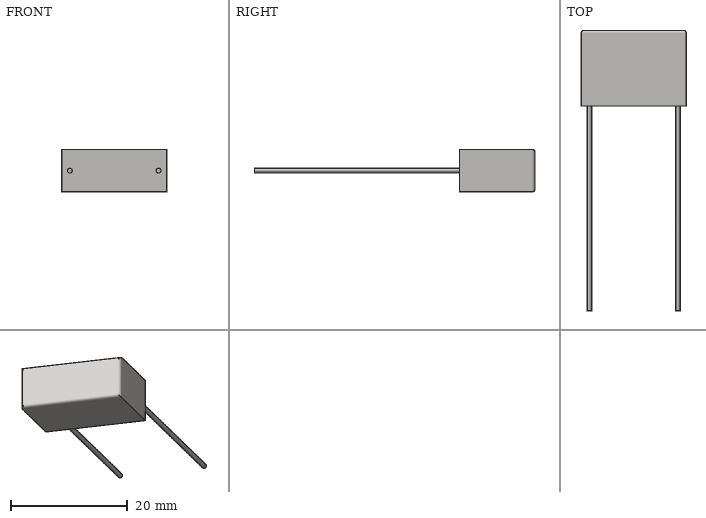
import cadquery as cq

total_length = 48.0
case_width = 18.0
case_height = 7.3

case_length = 12.95
rear_edge_radius = 0.5

lead_diameter = 0.8
lead_pitch = 15.15
lead_length = total_length - case_length

rear_y = total_length / 2
lead_exit_y = rear_y - case_length


def make_case():
    """Solid block whose rear face, away from the leads, has rounded edges."""
    block = cq.Workplane("XY").box(case_width, case_length, case_height)
    rounded = block.faces(">Y").edges().fillet(rear_edge_radius)
    return rounded.translate((0, rear_y - case_length / 2, 0))


def make_lead(x):
    """Round wire that butts against the front face of the case and runs toward -Y."""
    exit_plane = cq.Workplane("XZ", origin=(x, lead_exit_y, 0))
    return exit_plane.circle(lead_diameter / 2).extrude(lead_length)


case = make_case()
leads = []
for side in (-1, 1):
    leads.append(make_lead(side * lead_pitch / 2).val())

result = cq.Compound.makeCompound([case.val(), *leads])